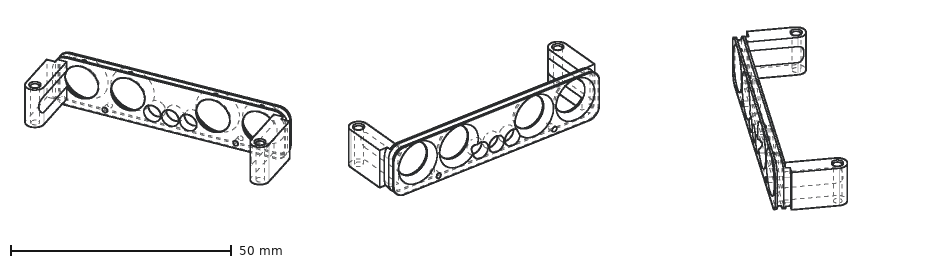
import cadquery as cq

plate_length = 58.3
plate_height = 12.7
plate_thickness = 2.5
corner_radius = 3.0
groove_radius = 0.75
groove_offset = plate_thickness / 2

large_hole_diameter = 8.5
large_hole_back_diameter = 10.9
flare_depth = 2.1
large_hole_x = (10.7, 22.35)
large_hole_z = 0.8
small_hole_diameter = 4.2
small_hole_pitch = 4.5
small_hole_z = -2.7
pin_hole_diameter = 1.3
pin_hole_x = 16.4
pin_hole_z = -4.95

overall_length = 61.05
overall_depth = 16.7
arm_width = 4.5
arm_bottom = -4.65
arm_height = 10.0
shoulder_offset = 3.55
screw_hole_diameter = 2.0
screw_countersink_diameter = 2.7
screw_countersink_depth = (screw_countersink_diameter - screw_hole_diameter) / 2

arm_center_x = (overall_length - arm_width) / 2
arm_end_radius = arm_width / 2
arm_end_y = -(overall_depth - arm_end_radius)
arm_top = arm_bottom + arm_height


def rounded_slab(depth):
    """Plate outline extruded from the back face towards -Y."""
    slab = cq.Workplane("XZ").rect(plate_length, plate_height).extrude(depth)
    return slab.edges("|Y").fillet(corner_radius)


def rim_groove():
    """Round cutter that follows the plate rim."""
    path = rounded_slab(groove_offset).faces("<Y").wires().val()
    profile = cq.Workplane("YZ").center(-groove_offset, plate_height / 2).circle(groove_radius)
    return profile.sweep(cq.Workplane(path))


def bores(points, diameter, depth):
    """Cylinders along Y that start at the back face."""
    return cq.Workplane("XZ").pushPoints(points).circle(diameter / 2).extrude(depth)


def flares(points):
    """Cones along Y that are widest on the back face."""
    cone = cq.Solid.makeCone(
        large_hole_back_diameter / 2,
        large_hole_diameter / 2,
        flare_depth,
        dir=cq.Vector(0, -1, 0),
    )
    cones = [cone.translate(cq.Vector(x, 0, z)) for x, z in points]
    return cq.Workplane("XZ").newObject(cones).combine()


def arm(side):
    """Round-ended arm whose narrower root runs through the plate within its outline."""
    center_x = side * arm_center_x
    length = -shoulder_offset - arm_end_y
    base = cq.Workplane("XY").workplane(offset=arm_bottom)
    bar = base.center(center_x, arm_end_y + length / 2).rect(arm_width, length).extrude(arm_height)
    end = base.center(center_x, arm_end_y).circle(arm_end_radius).extrude(arm_height)
    root = base.center(center_x, -shoulder_offset / 2).rect(arm_width, shoulder_offset).extrude(arm_height)
    return bar.union(end).union(root.intersect(rounded_slab(shoulder_offset)))


def screw_hole(side):
    """Vertical hole through an arm, countersunk at the top."""
    center = cq.Workplane("XY").center(side * arm_center_x, arm_end_y)
    hole = center.workplane(offset=arm_bottom).circle(screw_hole_diameter / 2).extrude(arm_height)
    countersink = (
        center.workplane(offset=arm_top - screw_countersink_depth)
        .circle(screw_hole_diameter / 2)
        .workplane(offset=screw_countersink_depth)
        .circle(screw_countersink_diameter / 2)
        .loft()
    )
    return hole.union(countersink)


large_points = [(side * x, large_hole_z) for side in (-1, 1) for x in large_hole_x]
small_points = [(step * small_hole_pitch, small_hole_z) for step in (-1, 0, 1)]
pin_points = [(side * pin_hole_x, pin_hole_z) for side in (-1, 1)]

result = rounded_slab(plate_thickness)
for side in (-1, 1):
    result = result.union(arm(side)).cut(screw_hole(side))
result = result.cut(rim_groove())

result = result.cut(bores(large_points, large_hole_diameter, overall_depth))
result = result.cut(flares(large_points))
result = result.cut(bores(small_points, small_hole_diameter, plate_thickness))
result = result.cut(bores(pin_points, pin_hole_diameter, plate_thickness))